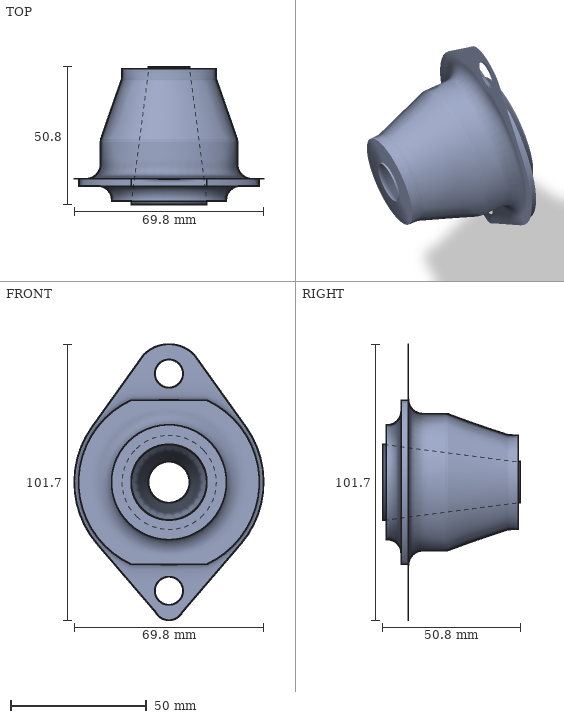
import cadquery as cq
import math


plate_height = 101.7
plate_thickness = 0.1
plate_radius = 34.9
top_corner_x = 9.4
top_corner_z = 46.9
bottom_corner_x = 4.9
bottom_corner_z = 47.9
bolt_offset = 40.0
bolt_hole_diameter = 10.3

disc_radius = 33.3
disc_thickness = 2.7
flat_offset = 30.2

collar_radius = 42.3 / 2
collar_face_y = -8.2
collar_land = 0.6

body_radius = 50.6 / 2
body_fillet = 5.2
body_end_y = 13.5
cone_start_y = 14.5
cone_start_radius = 25.1
cone_end_y = 36.4
cone_end_radius = 17.5
rim_start_y = 38.7
rim_radius = 34.7 / 2
rim_end_y = 40.5

front_bore_radius = 27.8 / 2
rear_bore_radius = 15.1 / 2
lip_wall = 0.1
front_lip_y = -9.6
rear_lip_y = 41.2


def tangent_point(corner_x, corner_z):
    """Point where a line from the corner (both positive) touches the plate's round side."""
    corner_angle = math.atan2(corner_x, corner_z)
    touch_angle = corner_angle + math.acos(plate_radius / math.hypot(corner_x, corner_z))
    return plate_radius * math.sin(touch_angle), plate_radius * math.cos(touch_angle)


def make_plate():
    """Thin plate with round sides, a broad top ear and a narrow bottom ear."""
    top_x, top_z = tangent_point(top_corner_x, top_corner_z)
    bottom_x, bottom_z = tangent_point(bottom_corner_x, bottom_corner_z)
    plate = (
        cq.Workplane("XZ")
        .moveTo(-top_corner_x, top_corner_z)
        .threePointArc((0, plate_height / 2), (top_corner_x, top_corner_z))
        .lineTo(top_x, top_z)
        .threePointArc((plate_radius, 0), (bottom_x, -bottom_z))
        .lineTo(bottom_corner_x, -bottom_corner_z)
        .threePointArc((0, -plate_height / 2), (-bottom_corner_x, -bottom_corner_z))
        .lineTo(-bottom_x, -bottom_z)
        .threePointArc((-plate_radius, 0), (-top_x, top_z))
        .close()
        .extrude(plate_thickness)
    )
    bolt_holes = (
        cq.Workplane("XZ")
        .pushPoints([(0, bolt_offset), (0, -bolt_offset)])
        .circle(bolt_hole_diameter / 2)
        .extrude(plate_thickness)
    )
    return plate.cut(bolt_holes)


def make_disc():
    """Round flange in front of the plate, cut flat at top and bottom."""
    flats = cq.Workplane("XZ").rect(2 * disc_radius, 2 * flat_offset).extrude(disc_thickness)
    return cq.Workplane("XZ").circle(disc_radius).extrude(disc_thickness).intersect(flats)


def make_body():
    """Revolved collar, cylinder, cone and rim, with the two lips at the ends."""
    front_lip_radius = front_bore_radius + lip_wall
    rear_lip_radius = rear_bore_radius + lip_wall
    collar_land_y = collar_face_y + collar_land
    collar_fillet = -disc_thickness - collar_land_y
    arc_inset = 1 - math.sqrt(0.5)
    return (
        cq.Workplane("XY")
        .moveTo(0, front_lip_y)
        .lineTo(front_lip_radius, front_lip_y)
        .lineTo(front_lip_radius, collar_face_y)
        .lineTo(collar_radius, collar_face_y)
        .lineTo(collar_radius, collar_land_y)
        .threePointArc(
            (collar_radius + collar_fillet * arc_inset, -disc_thickness - collar_fillet * arc_inset),
            (collar_radius + collar_fillet, -disc_thickness),
        )
        .lineTo(body_radius + body_fillet, -plate_thickness)
        .lineTo(body_radius + body_fillet, 0)
        .threePointArc(
            (body_radius + body_fillet * arc_inset, body_fillet * arc_inset),
            (body_radius, body_fillet),
        )
        .lineTo(body_radius, body_end_y)
        .lineTo(cone_start_radius, cone_start_y)
        .lineTo(cone_end_radius, cone_end_y)
        .lineTo(rim_radius, rim_start_y)
        .lineTo(rim_radius, rim_end_y)
        .lineTo(rear_lip_radius, rim_end_y)
        .lineTo(rear_lip_radius, rear_lip_y)
        .lineTo(0, rear_lip_y)
        .close()
        .revolve(360, (0, 0, 0), (0, 1, 0))
    )


def make_bore():
    """Tapered through bore, straight inside each lip."""
    return (
        cq.Workplane("XY")
        .moveTo(0, front_lip_y)
        .lineTo(front_bore_radius, front_lip_y)
        .lineTo(front_bore_radius, collar_face_y)
        .lineTo(rear_bore_radius, rim_end_y)
        .lineTo(rear_bore_radius, rear_lip_y)
        .lineTo(0, rear_lip_y)
        .close()
        .revolve(360, (0, 0, 0), (0, 1, 0))
    )


result = make_body().union(make_disc()).union(make_plate()).cut(make_bore())